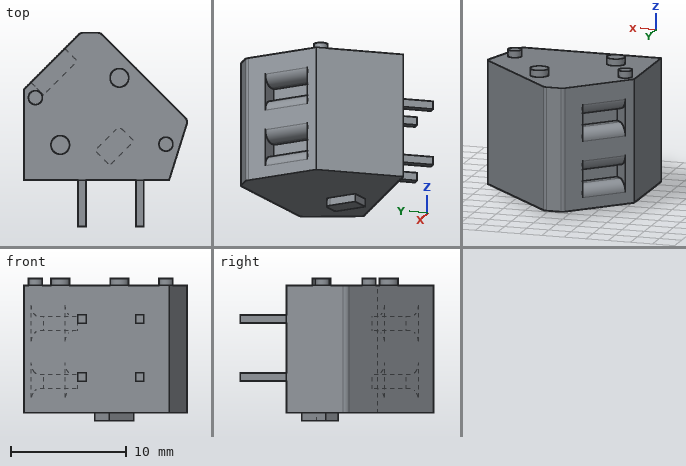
import cadquery as cq
import math

body_height = 11.0
body_depth = 12.72
front_width = 12.53
left_side_depth = 7.82
back_start_x = body_depth - left_side_depth
back_end_x = 6.58
right_tip_y = 5.15
right_tip_x = back_end_x + body_depth - right_tip_y
corner_radius = 0.5

peg_height = 0.6
small_peg_diameter = 1.2
large_peg_diameter = 1.6
pegs = [
    (1.0, 7.12, small_peg_diameter),
    (12.25, 3.1, small_peg_diameter),
    (8.24, 8.82, large_peg_diameter),
    (3.14, 3.04, large_peg_diameter),
]

key_height = 0.7
key_width = 1.8
key_length = 2.95
key_corner_radius = 0.43
key_front_x = 7.39
key_front_y = 1.3

pitch = 5.0
pin_size = 0.7
pin_length = 4.0
first_pin_x = 5.01
first_pin_z = 3.09

entry_length = 4.13
entry_depth = 1.5
entry_throat = 1.2
entry_lip_radius = 1.02
entry_center_y = 9.9
first_entry_z = 2.7


def make_body():
    outline = [
        (0, 0),
        (front_width, 0),
        (right_tip_x, right_tip_y),
        (back_end_x, body_depth),
        (back_start_x, body_depth),
        (0, left_side_depth),
    ]
    body = cq.Workplane("XY").polyline(outline).close().extrude(body_height)
    for x, y in outline[2:5]:
        edge_middle = cq.selectors.NearestToPointSelector((x, y, body_height / 2))
        body = body.edges("|Z").edges(edge_middle).fillet(corner_radius)
    return body


def make_peg(x, y, diameter):
    return cq.Workplane("XY", origin=(x, y, body_height)).circle(diameter / 2).extrude(peg_height)


def make_key():
    key_plane = cq.Plane(origin=(key_front_x, key_front_y, 0), xDir=(1, 1, 0), normal=(0, 0, 1))
    key = cq.Workplane(key_plane).rect(key_length, key_width, centered=False).extrude(-key_height)
    return key.edges("|Z").edges(">Y").fillet(key_corner_radius)


def make_pin(x, z):
    return cq.Workplane("XZ", origin=(x, 0, z)).rect(pin_size, pin_size).extrude(pin_length)


def make_entry(z):
    half_throat = entry_throat / 2
    half_mouth = half_throat + entry_lip_radius
    arc_inset = entry_lip_radius * (1 - math.sqrt(0.5))
    section_plane = cq.Plane(
        origin=(entry_center_y - left_side_depth, entry_center_y, z),
        xDir=(1, -1, 0),
        normal=(-1, -1, 0),
    )
    return (
        cq.Workplane(section_plane)
        .moveTo(0, -half_mouth)
        .threePointArc((arc_inset, -half_throat - arc_inset), (entry_lip_radius, -half_throat))
        .lineTo(entry_depth, -half_throat)
        .lineTo(entry_depth, half_throat)
        .lineTo(entry_lip_radius, half_throat)
        .threePointArc((arc_inset, half_throat + arc_inset), (0, half_mouth))
        .close()
        .extrude(entry_length / 2, both=True)
    )


result = make_body().union(make_key())
for peg_x, peg_y, peg_diameter in pegs:
    result = result.union(make_peg(peg_x, peg_y, peg_diameter))
for row in range(2):
    result = result.cut(make_entry(first_entry_z + row * pitch))
    for column in range(2):
        result = result.union(make_pin(first_pin_x + column * pitch, first_pin_z + row * pitch))